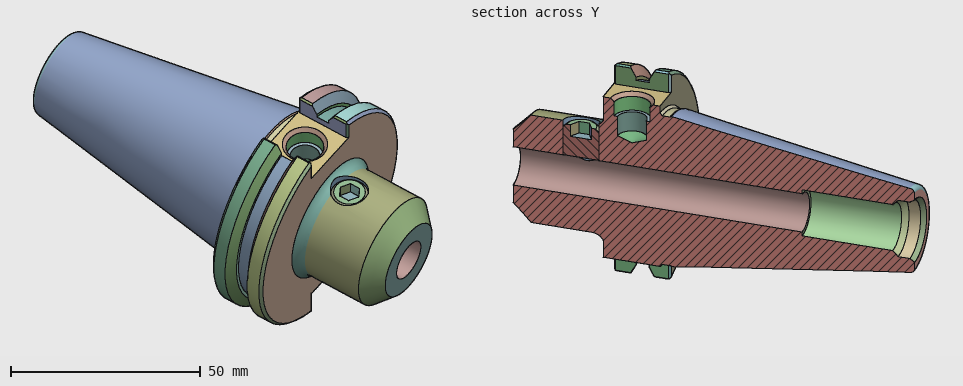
import cadquery as cq
import math

TOTAL_LENGTH = 112.7

TAPER_LENGTH = 68.2
TAPER_LARGE_DIAMETER = 44.4
TAPER_RATIO = 7 / 24
TAPER_END_FILLET = 1.4
NECK_DIAMETER = 44.0
NECK_STEP = 0.5
NECK_FLARE = 0.7

FLANGE_START = 71.5
FLANGE_END = 87.5
FLANGE_DIAMETER = 63.5
FLANGE_EDGE_CHAMFER = 0.8
GROOVE_CENTRE = 79.3
GROOVE_FLOOR_WIDTH = 3.7
GROOVE_MOUTH_WIDTH = 7.1
GROOVE_DIAMETER = 55.9
GROOVE_WALL_HEIGHT = 0.9

SLOT_WIDTH = 16.2
SLOT_EDGE_CHAMFER = 0.6
UPPER_SLOT_FLOOR = 24.7
LOWER_SLOT_FLOOR = 22.7

NOSE_DIAMETER = 31.8
NOSE_CHAMFER = 5.1
ROOT_ARC_RADIUS = 3.5
ROOT_ARC_LENGTH = 3.0

MOUTH_DIAMETER = 18.3
MOUTH_CONE_LENGTH = 1.4
COUNTERBORE_DIAMETER = 16.5
COUNTERBORE_DEPTH = 4.6
THREAD_BORE_DIAMETER = 13.4
THREAD_BORE_DEPTH = 31.6
THROUGH_BORE_DIAMETER = 11.2

POCKET_DIAMETER = 9.9
POCKET_MOUTH_CHAMFER = 1.0
POCKET_DEPTH = 5.1
DRILL_DIAMETER = 8.0
DRILL_DEPTH = 10.7
DRILL_POINT_ANGLE = 140.0

SCREW_X = 93.7
SCREW_HOLE_DIAMETER = 10.0
SCREW_DIAMETER = 9.9
SCREW_FACE_DIAMETER = 8.3
SCREW_TOP = 14.9
SCREW_BOTTOM = 5.6
HEX_ACROSS_FLATS = 5.1
HEX_DEPTH = 3.4

CUT_MARGIN = 2.3


def revolve_about_x(profile):
    return profile.close().revolve(360, (0, 0, 0), (1, 0, 0))


def make_shank_and_nose():
    """Everything turned around the flange, without the bore."""
    taper_radius = TAPER_LARGE_DIAMETER / 2
    tip_radius = taper_radius - TAPER_LENGTH * TAPER_RATIO / 2
    neck_radius = NECK_DIAMETER / 2
    nose_radius = NOSE_DIAMETER / 2

    arc_end_x = FLANGE_END + ROOT_ARC_LENGTH
    arc_centre_radius = nose_radius + ROOT_ARC_RADIUS
    sweep = math.asin(ROOT_ARC_LENGTH / ROOT_ARC_RADIUS)
    arc_start = (FLANGE_END, arc_centre_radius - ROOT_ARC_RADIUS * math.cos(sweep))
    arc_middle = (
        arc_end_x - ROOT_ARC_RADIUS * math.sin(sweep / 2),
        arc_centre_radius - ROOT_ARC_RADIUS * math.cos(sweep / 2),
    )

    profile = (
        cq.Workplane("XY")
        .lineTo(0, tip_radius)
        .lineTo(TAPER_LENGTH, taper_radius)
        .lineTo(TAPER_LENGTH + NECK_STEP, neck_radius)
        .lineTo(FLANGE_START - NECK_FLARE, neck_radius)
        .lineTo(FLANGE_START, neck_radius + NECK_FLARE)
        .lineTo(FLANGE_END, neck_radius + NECK_FLARE)
        .lineTo(*arc_start)
        .threePointArc(arc_middle, (arc_end_x, nose_radius))
        .lineTo(TOTAL_LENGTH - NOSE_CHAMFER, nose_radius)
        .lineTo(TOTAL_LENGTH, nose_radius - NOSE_CHAMFER)
        .lineTo(TOTAL_LENGTH, 0)
    )
    return revolve_about_x(profile).faces("<X").edges().fillet(TAPER_END_FILLET)


def make_slot_cutter(floor_distance, side):
    """Box that cuts one drive slot; side is +1 above the axis, -1 below."""
    height = FLANGE_DIAMETER / 2
    return cq.Workplane("XY").box(
        FLANGE_END - FLANGE_START + 2 * CUT_MARGIN, SLOT_WIDTH, height
    ).translate(((FLANGE_START + FLANGE_END) / 2, 0, side * (floor_distance + height / 2)))


def make_flange():
    outer_radius = FLANGE_DIAMETER / 2
    groove_radius = GROOVE_DIAMETER / 2
    profile = (
        cq.Workplane("XY")
        .moveTo(FLANGE_START, 0)
        .lineTo(FLANGE_START, outer_radius)
        .lineTo(GROOVE_CENTRE - GROOVE_MOUTH_WIDTH / 2, outer_radius)
        .lineTo(GROOVE_CENTRE - GROOVE_FLOOR_WIDTH / 2, groove_radius + GROOVE_WALL_HEIGHT)
        .lineTo(GROOVE_CENTRE - GROOVE_FLOOR_WIDTH / 2, groove_radius)
        .lineTo(GROOVE_CENTRE + GROOVE_FLOOR_WIDTH / 2, groove_radius)
        .lineTo(GROOVE_CENTRE + GROOVE_FLOOR_WIDTH / 2, groove_radius + GROOVE_WALL_HEIGHT)
        .lineTo(GROOVE_CENTRE + GROOVE_MOUTH_WIDTH / 2, outer_radius)
        .lineTo(FLANGE_END, outer_radius)
        .lineTo(FLANGE_END, 0)
    )
    flange = revolve_about_x(profile)
    flange = flange.cut(make_slot_cutter(UPPER_SLOT_FLOOR, 1))
    flange = flange.cut(make_slot_cutter(LOWER_SLOT_FLOOR, -1))

    uprights = flange.faces("<X or >X").edges("|Z")
    corner_height = math.sqrt(outer_radius**2 - (SLOT_WIDTH / 2) ** 2)
    reach = 0.1
    along_rim = flange.edges("|X").edges(
        cq.selectors.BoxSelector(
            (FLANGE_START, -SLOT_WIDTH, corner_height - reach),
            (FLANGE_END, SLOT_WIDTH, corner_height + reach),
        )
        + cq.selectors.BoxSelector(
            (FLANGE_START, -SLOT_WIDTH, -corner_height - reach),
            (FLANGE_END, SLOT_WIDTH, -corner_height + reach),
        )
    )
    flange = uprights.add(along_rim).chamfer(SLOT_EDGE_CHAMFER)
    return flange.faces("<X or >X").edges("%CIRCLE").chamfer(FLANGE_EDGE_CHAMFER)


def make_bore():
    mouth_radius = MOUTH_DIAMETER / 2
    counterbore_radius = COUNTERBORE_DIAMETER / 2
    thread_radius = THREAD_BORE_DIAMETER / 2
    through_radius = THROUGH_BORE_DIAMETER / 2
    profile = (
        cq.Workplane("XY")
        .lineTo(0, mouth_radius)
        .lineTo(MOUTH_CONE_LENGTH, counterbore_radius)
        .lineTo(COUNTERBORE_DEPTH, counterbore_radius)
        .lineTo(COUNTERBORE_DEPTH + counterbore_radius - thread_radius, thread_radius)
        .lineTo(THREAD_BORE_DEPTH, thread_radius)
        .lineTo(THREAD_BORE_DEPTH, through_radius)
        .lineTo(TOTAL_LENGTH, through_radius)
        .lineTo(TOTAL_LENGTH, 0)
    )
    return revolve_about_x(profile)


def make_pocket():
    """Stepped blind hole with a drill point, going down from the slot floor."""
    pocket_radius = POCKET_DIAMETER / 2
    drill_radius = DRILL_DIAMETER / 2
    point_height = drill_radius / math.tan(math.radians(DRILL_POINT_ANGLE / 2))
    return (
        cq.Workplane("XZ")
        .lineTo(pocket_radius + POCKET_MOUTH_CHAMFER, 0)
        .lineTo(pocket_radius, -POCKET_MOUTH_CHAMFER)
        .lineTo(pocket_radius, -POCKET_DEPTH)
        .lineTo(drill_radius, -POCKET_DEPTH)
        .lineTo(drill_radius, -DRILL_DEPTH)
        .lineTo(0, -DRILL_DEPTH - point_height)
        .close()
        .revolve(360, (0, 0, 0), (0, 1, 0))
        .translate((GROOVE_CENTRE, 0, UPPER_SLOT_FLOOR))
    )


def make_screw_hole():
    """Radial hole from the axis out through the nose."""
    return (
        cq.Workplane("XY")
        .center(SCREW_X, 0)
        .circle(SCREW_HOLE_DIAMETER / 2)
        .extrude(NOSE_DIAMETER / 2 + CUT_MARGIN)
    )


def make_holder():
    holder = make_flange().union(make_shank_and_nose())
    return holder.cut(make_bore()).cut(make_pocket()).cut(make_screw_hole())


def make_clamp_screw():
    face_chamfer = (SCREW_DIAMETER - SCREW_FACE_DIAMETER) / 2
    hex_across_corners = HEX_ACROSS_FLATS / math.cos(math.pi / 6)
    return (
        cq.Workplane("XY", origin=(SCREW_X, 0, SCREW_BOTTOM))
        .circle(SCREW_DIAMETER / 2)
        .extrude(SCREW_TOP - SCREW_BOTTOM)
        .faces(">Z")
        .chamfer(face_chamfer)
        .faces(">Z")
        .workplane()
        .polygon(6, hex_across_corners)
        .cutBlind(-HEX_DEPTH)
    )


holder = make_holder()
clamp_screw = make_clamp_screw()
result = cq.Compound.makeCompound([holder.val(), clamp_screw.val()])